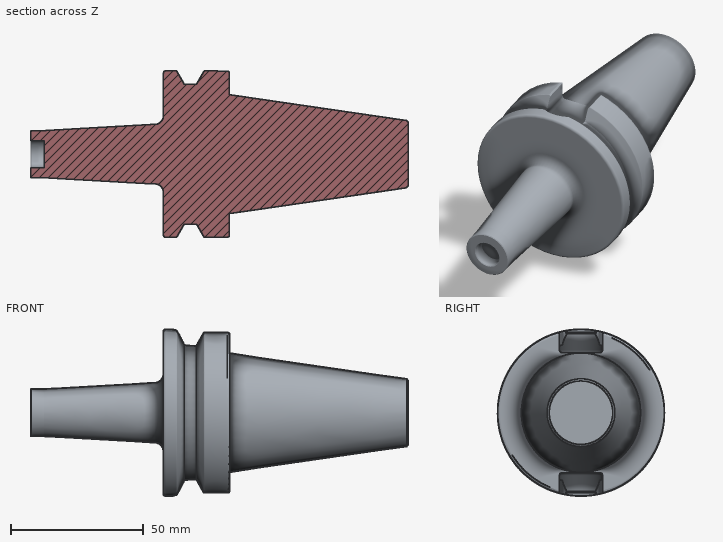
import cadquery as cq
import math

total_length = 142.4
flange_front = 50.0
flange_width = 25.0
flange_back = flange_front + flange_width
flange_radius = 63.0 / 2
flange_edge_round = 1.0

nose_radius = 18.0 / 2
nose_length = 5.0
nose_chamfer = 0.3
neck_radius = 22.6 / 2
neck_length = 0.9
root_fillet = 3.1
neck_end = flange_front - root_fillet
neck_start = neck_end - neck_length

bore_radius = 10.0 / 2
bore_depth = 5.0
mouth_chamfer = 0.3

groove_bottom_radius = 53.0 / 2
groove_bottom_start = 58.0
groove_bottom_width = 4.5
groove_bottom_end = groove_bottom_start + groove_bottom_width
groove_edge_round = 0.5
groove_wall_run = (flange_radius - groove_bottom_radius) * math.tan(math.radians(30))
groove_start = groove_bottom_start - groove_wall_run
groove_end = groove_bottom_end + groove_wall_run

taper_slope = 7 / 48
taper_end_radius = 25.3 / 2
taper_end_chamfer = 0.7
taper_stop = total_length - taper_end_chamfer
taper_stop_radius = taper_end_radius + taper_end_chamfer * taper_slope
taper_start_radius = taper_end_radius + (total_length - flange_back) * taper_slope

slot_width = 16.2
slot_floor = 22.6
slot_floor_fillet = 1.0
slot_edge_chamfer = 0.5
slot_arc_center = 62.0
slot_overrun = 1.4
slot_end = flange_back + slot_overrun

tolerance = 0.01
selection_reach = flange_radius + 1.4


def make_body():
    """Revolve the outer profile of nose, flange and taper."""
    corner = flange_edge_round * math.sqrt(0.5)
    front_arc_center = flange_front + flange_edge_round
    back_arc_center = flange_back - flange_edge_round
    round_radius = flange_radius - flange_edge_round
    root_corner = root_fillet * math.sqrt(0.5)
    profile = (
        cq.Workplane("XY")
        .moveTo(0, 0)
        .lineTo(0, nose_radius - nose_chamfer)
        .lineTo(nose_chamfer, nose_radius)
        .lineTo(nose_length, nose_radius)
        .lineTo(neck_start, neck_radius)
        .lineTo(neck_end, neck_radius)
        .threePointArc(
            (neck_end + root_corner, neck_radius + root_fillet - root_corner),
            (flange_front, neck_radius + root_fillet),
        )
        .lineTo(flange_front, round_radius)
        .threePointArc(
            (front_arc_center - corner, round_radius + corner),
            (front_arc_center, flange_radius),
        )
        .lineTo(groove_start, flange_radius)
        .lineTo(groove_bottom_start, groove_bottom_radius)
        .lineTo(groove_bottom_end, groove_bottom_radius)
        .lineTo(groove_end, flange_radius)
        .lineTo(back_arc_center, flange_radius)
        .threePointArc(
            (back_arc_center + corner, round_radius + corner),
            (flange_back, round_radius),
        )
        .lineTo(flange_back, taper_start_radius)
        .lineTo(taper_stop, taper_stop_radius)
        .lineTo(total_length, taper_end_radius - taper_end_chamfer)
        .lineTo(total_length, 0)
        .close()
    )
    return profile.revolve(360, (0, 0, 0), (1, 0, 0))


def round_groove_edges(body):
    """Soften the two outer edges of the V groove."""
    groove_edges = []
    for x in (groove_start, groove_end):
        near_corner = (x - tolerance, -selection_reach, -selection_reach)
        far_corner = (x + tolerance, selection_reach, selection_reach)
        ring = cq.selectors.BoxSelector(near_corner, far_corner, boundingbox=True)
        groove_edges += body.edges(ring).vals()
    return body.newObject(groove_edges).fillet(groove_edge_round)


def make_bore():
    """Blind bore with a chamfered mouth, entering the nose face."""
    mouth_radius = bore_radius + mouth_chamfer
    return (
        cq.Workplane("XY")
        .lineTo(0, mouth_radius)
        .lineTo(mouth_chamfer, bore_radius)
        .lineTo(bore_depth, bore_radius)
        .lineTo(bore_depth, 0)
        .close()
        .revolve(360, (0, 0, 0), (1, 0, 0))
    )


def slot_prism(half_width, bottom, height, taper=0):
    """Prism with a round front end that runs out past the flange back."""
    return (
        cq.Workplane("XY", origin=(0, 0, bottom))
        .moveTo(slot_end, -half_width)
        .lineTo(slot_arc_center, -half_width)
        .threePointArc((slot_arc_center - half_width, 0), (slot_arc_center, half_width))
        .lineTo(slot_end, half_width)
        .close()
        .extrude(height, taper=taper)
    )


def make_slot_cutter():
    """Upper slot: filleted floor, walls flared at 45 degrees along their outer edges."""
    half_width = slot_width / 2
    wide_half_width = half_width + slot_edge_chamfer
    rim_height = math.sqrt(flange_radius**2 - wide_half_width**2)
    chamfer_bottom = rim_height - slot_edge_chamfer
    slot = slot_prism(half_width, slot_floor, flange_radius - slot_floor)
    slot = slot.faces("<Z").edges("not(>X)").fillet(slot_floor_fillet)
    flare = slot_prism(half_width, chamfer_bottom, slot_edge_chamfer, taper=-45)
    upper = slot_prism(wide_half_width, rim_height, flange_radius - rim_height)
    return slot.union(flare).union(upper).intersect(flange_space())


def flange_space():
    """Block that keeps the slot cutter in front of the flange back face."""
    return cq.Workplane("XY").box(
        flange_back, 2 * flange_radius, 2 * flange_radius, centered=(False, True, True)
    )


slot = make_slot_cutter()
body = round_groove_edges(make_body())
result = body.cut(make_bore()).cut(slot).cut(slot.mirror("XY"))